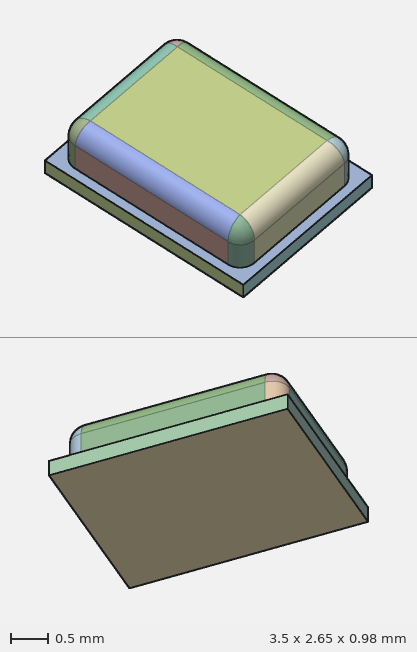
import cadquery as cq

plate_length = 3.5
plate_width = 2.65
plate_thickness = 0.25

total_height = 0.98
lid_margin = 0.15
lid_length = plate_length - 2 * lid_margin
lid_width = plate_width - 2 * lid_margin
lid_height = total_height - plate_thickness
top_edge_radius = 0.28
corner_radius = 0.25


def make_plate():
    """Flat rectangular substrate with its underside at Z = 0."""
    return cq.Workplane("XY").box(plate_length, plate_width, plate_thickness, centered=(True, True, False))


def make_lid():
    """Rounded lid standing on the plate."""
    block = (
        cq.Workplane("XY")
        .workplane(offset=plate_thickness)
        .box(lid_length, lid_width, lid_height, centered=(True, True, False))
    )
    return block.edges("|Z").fillet(corner_radius).faces(">Z").edges().fillet(top_edge_radius)


result = make_plate().union(make_lid())